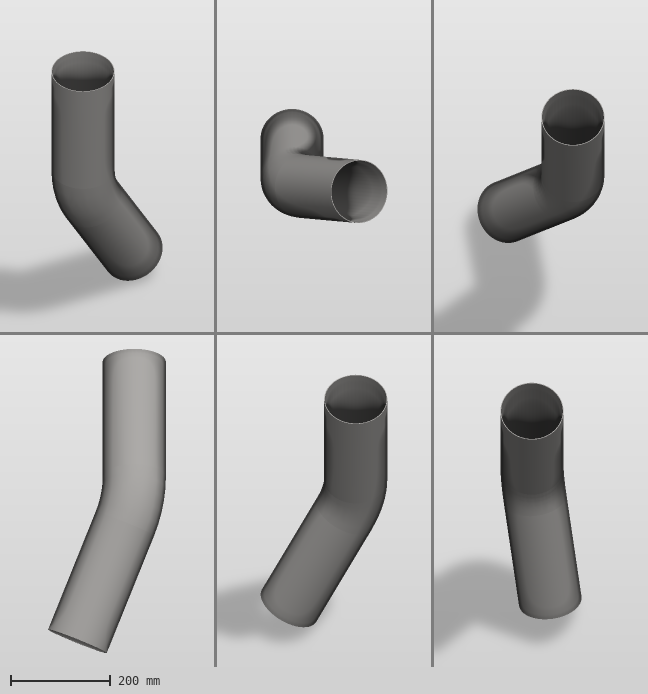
import cadquery as cq
import math

overall_height = 601.0
outer_diameter = 127.0
inner_diameter = 124.0
bend_angle = 30.0
bend_radius_ratio = 1.5

bend_radius = bend_radius_ratio * outer_diameter
bend_sin = math.sin(math.radians(bend_angle))
bend_cos = math.cos(math.radians(bend_angle))
bend_height = (bend_radius + outer_diameter / 2) * bend_sin
leg_length = (overall_height - bend_height) / (1 + bend_cos)


def centreline():
    """Path in the YZ plane: down from the top, round the bend, out towards +Y."""
    half_angle = math.radians(bend_angle / 2)
    bend_middle = (
        bend_radius * (1 - math.cos(half_angle)),
        -bend_radius * math.sin(half_angle),
    )
    bend_end = (bend_radius * (1 - bend_cos), -bend_radius * bend_sin)
    lower_end = (
        bend_end[0] + leg_length * bend_sin,
        bend_end[1] - leg_length * bend_cos,
    )
    return (
        cq.Workplane("YZ")
        .moveTo(0, leg_length)
        .lineTo(0, 0)
        .threePointArc(bend_middle, bend_end)
        .lineTo(*lower_end)
    )


result = (
    cq.Workplane("XY", origin=(0, 0, leg_length))
    .circle(outer_diameter / 2)
    .circle(inner_diameter / 2)
    .sweep(centreline())
)